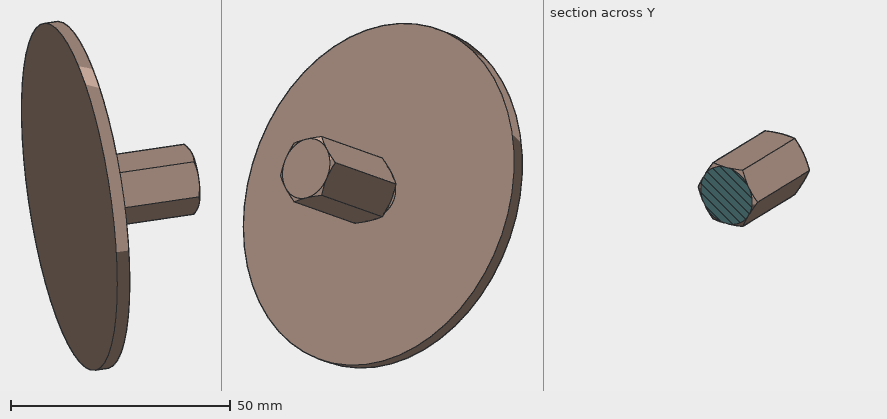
import cadquery as cq
import math

plate_diameter = 80.0
plate_thickness = 3.0
neck_base_diameter = 10.0
neck_tip_diameter = 4.0
neck_length = 3.0
neck_tip = plate_thickness + neck_length

hex_sides = 6
hex_across_flats = 14.0
hex_across_corners = hex_across_flats / math.cos(math.pi / hex_sides)
hex_length = 23.0
hex_start = neck_tip
hex_end = hex_start + hex_length

hex_end_diameter = hex_across_flats
hex_chamfer_angle = 30.0


def revolve_about_y(profile):
    """Turn a closed XY half-profile fully about the Y axis."""
    return profile.revolve(360, (0, 0, 0), (0, 1, 0))


def make_foot():
    """Plate and conical neck, turned as one piece."""
    half_profile = (
        cq.Workplane("XY")
        .lineTo(plate_diameter / 2, 0)
        .lineTo(plate_diameter / 2, plate_thickness)
        .lineTo(neck_base_diameter / 2, plate_thickness)
        .lineTo(neck_tip_diameter / 2, neck_tip)
        .lineTo(0, neck_tip)
        .close()
    )
    return revolve_about_y(half_profile)


def make_spindle():
    """Hexagonal bar cut back to a turned envelope that chamfers its corners."""
    bar = (
        cq.Workplane("XZ", origin=(0, hex_start, 0))
        .polygon(hex_sides, hex_across_corners)
        .extrude(-hex_length)
    )
    corner_radius = hex_across_corners / 2
    end_radius = hex_end_diameter / 2
    chamfer_length = (corner_radius - end_radius) * math.tan(math.radians(hex_chamfer_angle))
    half_profile = (
        cq.Workplane("XY")
        .moveTo(0, hex_start)
        .lineTo(end_radius, hex_start)
        .lineTo(corner_radius, hex_start + chamfer_length)
        .lineTo(corner_radius, hex_end - chamfer_length)
        .lineTo(end_radius, hex_end)
        .lineTo(0, hex_end)
        .close()
    )
    return bar.intersect(revolve_about_y(half_profile)).solids()


foot = make_foot()
spindle = make_spindle()

result = cq.Compound.makeCompound([foot.val(), spindle.val()])